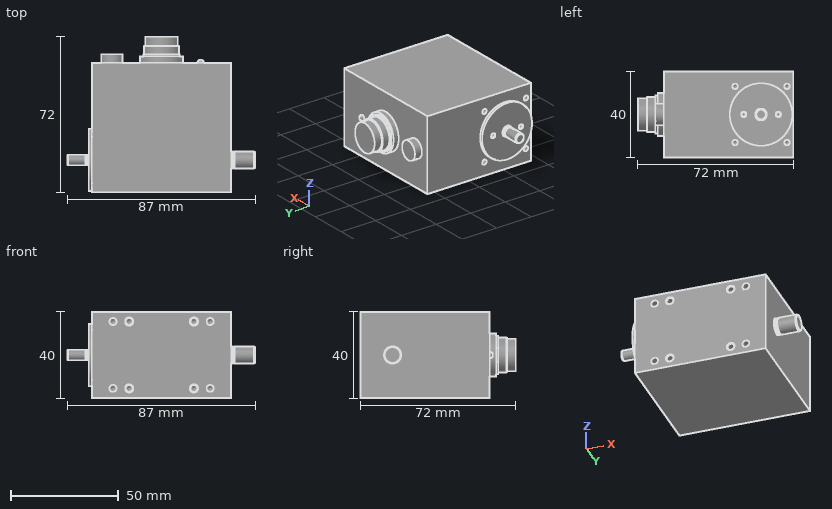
import cadquery as cq
import math


housing_length = 64.5
housing_depth = 59.9
housing_height = 40.0
shaft_to_front = 15.0
left_face = -housing_length / 2
right_face = housing_length / 2
front_face = -shaft_to_front
back_face = front_face + housing_depth

flange_diameter = 29.0
flange_thickness = 1.5
flange_face = left_face - flange_thickness

flange_bore_diameter = 5.5

tip_chamfer_length = 0.5
tip_chamfer_height = 0.35

left_shaft_radius = 2.5
left_collar_radius = 2.4
left_neck_radius = 2.35
left_groove_radius = 2.2
left_shaft_length = 10.0
left_collar_reach = 0.35
left_groove_reach = 0.8
left_neck_reach = 1.65

right_shaft_radius = 4.0
right_groove_radius = 3.7
right_shaft_length = 11.05
right_collar_reach = 0.8
right_groove_reach = 1.5

drill_point_angle = 118.0
front_hole_depth = 8.0
plain_hole_diameter = 3.3
plain_hole_spacing = 45.0
tapped_hole_diameter = 3.2
tapped_hole_mouth = 3.8
tapped_hole_spacing = 30.0
front_row_spacing = 31.0
side_hole_depth = 6.0
side_hole_diameter = 2.5
side_hole_spacing_y = 24.0
side_hole_spacing_z = 26.0
flange_hole_diameter = 2.0
flange_hole_mouth = 2.5
flange_hole_spacing = 16.0

plug_x = -23.0
plug_diameter = 10.0
plug_height = 4.0
connector_x = 0.0
connector_base_diameter = 20.0
connector_base_height = 3.0
connector_collar_diameter = 17.9
connector_collar_flats = 16.8
connector_collar_height = 4.0
connector_barrel_diameter = 16.3
connector_barrel_height = 8.0
connector_barrel_chamfer = 0.3
connector_tip_diameter = 15.1
connector_tip_height = 12.1
lamp_x = 18.1
lamp_radius = 1.5


def cylinder(start, direction, diameter, length):
    """Solid round bar from a start point along a direction."""
    return cq.Workplane(obj=cq.Solid.makeCylinder(
        diameter / 2, length, cq.Vector(*start), cq.Vector(*direction)))


def turned_shaft(root, neck_points, radius, length):
    """Shaft along +X from the root, through (x, radius) neck points, to a chamfered tip at the length."""
    tip_points = [
        (length - tip_chamfer_length, radius),
        (length, radius - tip_chamfer_height),
        (length, 0),
    ]
    outline = [(root, 0)] + neck_points + tip_points
    return cq.Workplane("XY").polyline(outline).close().revolve(360, (0, 0, 0), (1, 0, 0))


def drilled_hole(start, direction, diameter, depth, mouth_diameter):
    """Cutter for a blind hole with a drill point and a 45 degree countersunk mouth."""
    origin = cq.Vector(*start)
    axis = cq.Vector(*direction)
    radius = diameter / 2
    point_length = radius / math.tan(math.radians(drill_point_angle / 2))
    hole = cq.Solid.makeCylinder(radius, depth, origin, axis)
    hole = hole.fuse(cq.Solid.makeCone(radius, 0, point_length, origin + axis * depth, axis))
    if mouth_diameter > diameter:
        mouth_depth = (mouth_diameter - diameter) / 2
        hole = hole.fuse(cq.Solid.makeCone(mouth_diameter / 2, radius, mouth_depth, origin, axis))
    return cq.Workplane(obj=hole)


def connector():
    """Round connector of stepped cylinders whose collar has a flat on each X side."""
    def step(diameter, height):
        return cylinder((connector_x, back_face, 0), (0, 1, 0), diameter, height)

    flats = cq.Workplane("XY").box(
        connector_collar_flats, 2 * connector_collar_height, connector_collar_diameter
    ).translate((connector_x, back_face, 0))
    collar = step(connector_collar_diameter, connector_collar_height).intersect(flats)
    barrel = step(connector_barrel_diameter, connector_barrel_height)
    barrel = barrel.faces(">Y").chamfer(connector_barrel_chamfer)
    return (
        step(connector_base_diameter, connector_base_height)
        .union(collar)
        .union(barrel)
        .union(step(connector_tip_diameter, connector_tip_height))
    )


result = cq.Workplane("XY").box(housing_length, housing_depth, housing_height).translate(
    (0, (front_face + back_face) / 2, 0))
result = result.union(cylinder((left_face, 0, 0), (-1, 0, 0), flange_diameter, flange_thickness))

left_neck = [
    (-flange_thickness, left_collar_radius),
    (left_collar_reach, left_collar_radius),
    (left_collar_reach, left_groove_radius),
    (left_groove_reach, left_groove_radius),
    (left_groove_reach, left_neck_radius),
    (left_neck_reach - left_shaft_radius + left_neck_radius, left_neck_radius),
    (left_neck_reach, left_shaft_radius),
]
right_neck = [
    (0, right_shaft_radius),
    (right_collar_reach, right_shaft_radius),
    (right_collar_reach, right_groove_radius),
    (right_groove_reach, right_groove_radius),
    (right_groove_reach + right_shaft_radius - right_groove_radius, right_shaft_radius),
]
left_shaft = turned_shaft(-flange_thickness, left_neck, left_shaft_radius, left_shaft_length)
right_shaft = turned_shaft(0, right_neck, right_shaft_radius, right_shaft_length)
result = result.cut(cylinder((left_face, 0, 0), (-1, 0, 0), flange_bore_diameter, flange_thickness))
result = result.union(left_shaft.mirror("YZ").translate((flange_face, 0, 0)))
result = result.union(right_shaft.translate((right_face, 0, 0)))

result = result.union(cylinder((plug_x, back_face, 0), (0, 1, 0), plug_diameter, plug_height))
result = result.union(connector())
result = result.union(cq.Workplane("XY").sphere(lamp_radius).translate((lamp_x, back_face, 0)))

for side_x in (-1, 1):
    for side_z in (-1, 1):
        hole_z = side_z * front_row_spacing / 2
        plain_start = (side_x * plain_hole_spacing / 2, front_face, hole_z)
        tapped_start = (side_x * tapped_hole_spacing / 2, front_face, hole_z)
        result = result.cut(drilled_hole(
            plain_start, (0, 1, 0), plain_hole_diameter, front_hole_depth, plain_hole_diameter))
        result = result.cut(drilled_hole(
            tapped_start, (0, 1, 0), tapped_hole_diameter, front_hole_depth, tapped_hole_mouth))

for side_y in (-1, 1):
    flange_start = (flange_face, side_y * flange_hole_spacing / 2, 0)
    result = result.cut(drilled_hole(
        flange_start, (1, 0, 0), flange_hole_diameter, side_hole_depth, flange_hole_mouth))
    for side_z in (-1, 1):
        side_start = (left_face, side_y * side_hole_spacing_y / 2, side_z * side_hole_spacing_z / 2)
        result = result.cut(drilled_hole(
            side_start, (1, 0, 0), side_hole_diameter, side_hole_depth, side_hole_diameter))